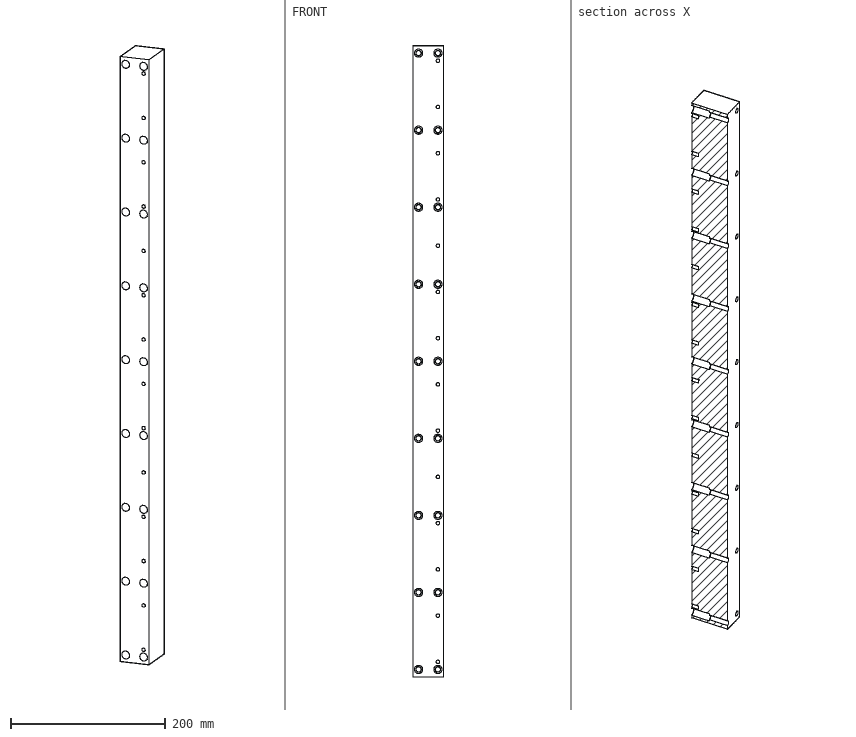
import cadquery as cq

width = 40.0
depth = 53.0
length = 820.0

column_edge_distance = 7.55
column_offset = width / 2 - column_edge_distance
screw_rows = 9
screw_pitch = 100.0
screw_diameter = 6.5
counterbore_diameter = 11.0
counterbore_depth = 26.0

small_hole_count = 14
small_hole_end_margin = 20.0
small_hole_pitch = (length - 2 * small_hole_end_margin) / (small_hole_count - 1)
small_hole_diameter = 4.5
small_hole_depth = 10.0


def row_heights(count, pitch):
    """Z positions of evenly spaced rows, centred on the rail."""
    return [(row - (count - 1) / 2) * pitch for row in range(count)]


def front_face(body):
    """Workplane at the centre of the -Y face, with local axes +X and +Z."""
    return body.faces("<Y").workplane(centerOption="CenterOfBoundBox")


def drill_screw_holes(body):
    points = [
        (x, z)
        for x in (-column_offset, column_offset)
        for z in row_heights(screw_rows, screw_pitch)
    ]
    return front_face(body).pushPoints(points).cboreHole(
        screw_diameter, counterbore_diameter, counterbore_depth
    )


def drill_small_holes(body):
    points = [(column_offset, z) for z in row_heights(small_hole_count, small_hole_pitch)]
    return front_face(body).pushPoints(points).hole(small_hole_diameter, small_hole_depth)


rail = cq.Workplane("XY").box(width, depth, length)
rail = drill_screw_holes(rail)
result = drill_small_holes(rail)